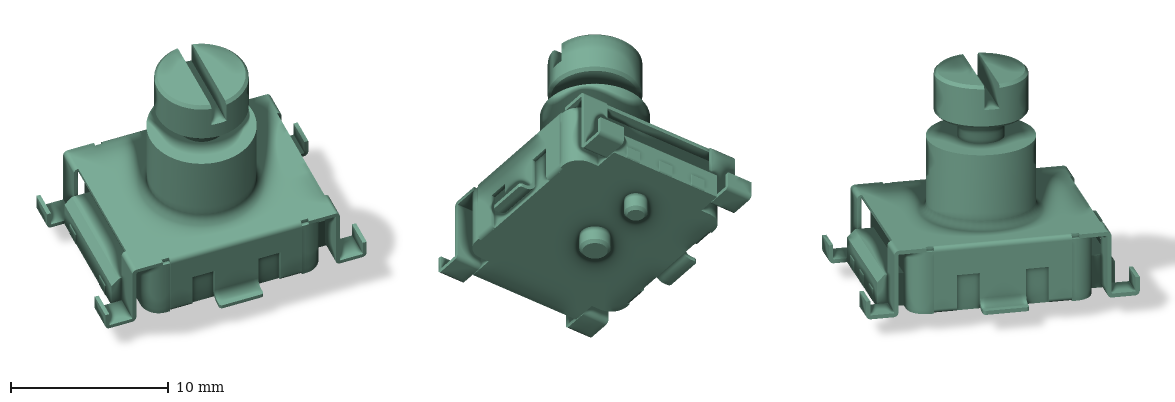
import cadquery as cq

cover_top = 4.5
bushing_top = 9.5
head_bottom = 11.07
shaft_top = 14.0

sheet = 0.27
bend_radius = 0.04
housing_top = cover_top - sheet

housing_width = 11.72
flap_seat_width = 11.29
housing_length = 12.05
housing_corner_radius = 1.23
ledge_width = 8.0
ledge_reach = 7.75
ledge_height = 2.21
ledge_chamfer = 0.5
peg_length = 1.2
peg_chamfer = 0.2
centre_peg_diameter = 2.0
offset_peg_diameter = 1.5
offset_peg_y = 4.5

plate_width = housing_width
leg_outer_y = 7.09
leg_width = 1.82
foot_outer_y = 8.93
foot_tip_height = 1.25
flap_outer_x = flap_seat_width / 2 + sheet
flap_width = 9.0
relief_width = 10.0
window_top = 2.5
window_outer_y = 3.0
tab_width = 3.0
tab_end_x = 6.85
tab_bend_radius = 0.5
tab_corner_radius = 0.2
crimp_lip = 0.5
bushing_diameter = 7.0
bushing_fillet = 0.5

shaft_diameter = 3.0
head_diameter = 6.0
head_chamfer = 0.2
slot_width = 1.0
slot_depth = 1.6

contact_width = 1.0
contact_height = 0.9
contact_depth = 0.25
contact_bottom_radius = 0.15
contact_top_radius = 0.05
contact_proud = 0.07
contact_pitch = 2.5


def box(x_min, x_max, y_min, y_max, z_min, z_max):
    size = (x_max - x_min, y_max - y_min, z_max - z_min)
    return cq.Workplane("XY").box(*size, centered=False).translate((x_min, y_min, z_min))


def bent_strip(plane, points, width, inner_radius):
    """Sheet strip of the given width swept along mid-thickness points, with right-angle bends."""
    points = [cq.Vector(*point) for point in points]
    setback = inner_radius + sheet / 2
    path = cq.Workplane(plane).moveTo(points[0].x, points[0].y)
    for before, corner, after in zip(points, points[1:], points[2:]):
        bend_start = corner + (before - corner).normalized() * setback
        bend_end = corner + (after - corner).normalized() * setback
        path = path.lineTo(bend_start.x, bend_start.y)
        path = path.tangentArcPoint((bend_end.x, bend_end.y), relative=False)
    path = path.lineTo(points[-1].x, points[-1].y)

    strip_plane = path.plane
    start = strip_plane.toWorldCoords(points[0])
    direction = strip_plane.toWorldCoords(points[1]) - start
    section = cq.Workplane(cq.Plane(start, strip_plane.zDir, direction)).rect(width, sheet)
    return section.sweep(path)


def peg(diameter, y):
    """Locating peg below the housing, rooted inside it up to the ledge height."""
    return (
        cq.Workplane("XY")
        .workplane(offset=-peg_length)
        .center(0, y)
        .circle(diameter / 2)
        .extrude(peg_length + ledge_height)
        .faces("<Z")
        .chamfer(peg_chamfer)
    )


def make_housing_blank():
    """Housing before the cover and contacts are seated in it."""
    body = (
        cq.Workplane("XY")
        .rect(housing_width, housing_length)
        .extrude(housing_top)
        .edges("|Z")
        .fillet(housing_corner_radius)
    )
    ledge = (
        cq.Workplane("XY")
        .rect(ledge_width, 2 * ledge_reach)
        .extrude(ledge_height)
        .faces(">Z")
        .edges("|X")
        .chamfer(ledge_chamfer)
    )
    centre_peg = peg(centre_peg_diameter, 0)
    offset_peg = peg(offset_peg_diameter, offset_peg_y)
    housing = body.union(ledge).union(centre_peg).union(offset_peg)
    for x_side in (-1, 1):
        seat_span = sorted((x_side * flap_seat_width / 2, x_side * housing_width / 2))
        housing = housing.cut(box(*seat_span, -flap_width / 2, flap_width / 2, 0, housing_top))
    return housing


def make_leg(x_side, y_side):
    """Corner leg: down from the plate, outward as a foot, and up again at the tip."""
    upright_y = leg_outer_y - sheet / 2
    tip_y = foot_outer_y - sheet / 2
    plate_edge_y = upright_y - bend_radius - sheet
    points = [
        (y_side * plate_edge_y, housing_top + sheet / 2),
        (y_side * upright_y, housing_top + sheet / 2),
        (y_side * upright_y, sheet / 2),
        (y_side * tip_y, sheet / 2),
        (y_side * tip_y, foot_tip_height),
    ]
    leg_x = x_side * (plate_width - leg_width) / 2
    return bent_strip("YZ", points, leg_width, bend_radius).translate((leg_x, 0, 0))


def make_flap(x_side):
    """Side flap: a wall with two folded crimps, a solder tab and two windows between them."""
    wall_x = x_side * (flap_outer_x - sheet / 2)
    plate_edge_x = wall_x - x_side * (bend_radius + sheet)
    lip_x = wall_x - x_side * crimp_lip
    wall_points = [
        (plate_edge_x, housing_top + sheet / 2),
        (wall_x, housing_top + sheet / 2),
        (wall_x, window_top),
    ]
    crimp_points = [(wall_x, window_top), (wall_x, sheet / 2), (lip_x, sheet / 2)]
    tab_points = [(wall_x, window_top), (wall_x, sheet / 2), (x_side * tab_end_x, sheet / 2)]

    crimp_width = flap_width / 2 - window_outer_y
    crimp_y = (flap_width / 2 + window_outer_y) / 2
    tab = bent_strip("XZ", tab_points, tab_width, tab_bend_radius)
    tab_end = ">X" if x_side > 0 else "<X"
    tab = tab.faces(tab_end).edges("|Z").fillet(tab_corner_radius)

    flap = bent_strip("XZ", wall_points, flap_width, bend_radius).union(tab)
    crimp = bent_strip("XZ", crimp_points, crimp_width, bend_radius)
    for y_side in (-1, 1):
        flap = flap.union(crimp.translate((0, y_side * crimp_y, 0)))
    return flap


def make_cover():
    """Plate with the bushing, flaps and legs, bored for the shaft."""
    bend_reach = bend_radius + sheet
    plate_length = 2 * (leg_outer_y - bend_reach)
    relief_x = flap_outer_x - bend_reach
    cover = (
        cq.Workplane("XY")
        .workplane(offset=housing_top)
        .rect(plate_width, plate_length)
        .extrude(sheet)
    )
    bushing = (
        cq.Workplane("XY")
        .workplane(offset=housing_top)
        .circle(bushing_diameter / 2)
        .extrude(bushing_top - housing_top)
    )
    cover = cover.union(bushing)
    bushing_foot = cq.selectors.NearestToPointSelector((bushing_diameter / 2, 0, cover_top))
    cover = cover.edges("%CIRCLE").edges(bushing_foot).fillet(bushing_fillet)

    for x_side in (-1, 1):
        relief_span = sorted((x_side * relief_x, x_side * plate_width))
        cover = cover.cut(box(*relief_span, -relief_width / 2, relief_width / 2, housing_top, cover_top))
        cover = cover.union(make_flap(x_side))
        for y_side in (-1, 1):
            cover = cover.union(make_leg(x_side, y_side))
    return cover.cut(make_shaft())


def make_shaft():
    """Stem standing on the housing, with a slotted head."""
    stem = (
        cq.Workplane("XY")
        .workplane(offset=housing_top)
        .circle(shaft_diameter / 2)
        .extrude(head_bottom - housing_top)
    )
    head = (
        cq.Workplane("XY")
        .workplane(offset=head_bottom)
        .circle(head_diameter / 2)
        .extrude(shaft_top - head_bottom)
        .edges()
        .chamfer(head_chamfer)
    )
    slot = box(
        -head_diameter, head_diameter, -slot_width / 2, slot_width / 2, shaft_top - slot_depth, shaft_top
    )
    return stem.union(head).cut(slot)


def make_contact(column, y_side):
    """Contact block set into a ledge face and standing slightly out of it."""
    outer_y = ledge_reach + contact_proud
    inner_y = outer_y - contact_depth
    y_span = sorted((y_side * inner_y, y_side * outer_y))
    x = column * contact_pitch
    contact = box(x - contact_width / 2, x + contact_width / 2, *y_span, 0, contact_height)
    outer_side = ">Y" if y_side > 0 else "<Y"
    contact = contact.faces(outer_side).edges("<Z").fillet(contact_bottom_radius)
    return contact.faces(outer_side).edges(">Z").fillet(contact_top_radius)


shaft = make_shaft()
cover = make_cover()
contacts = [make_contact(column, -1) for column in (-1, 1)]
contacts += [make_contact(column, 1) for column in (-1, 0, 1)]

housing = make_housing_blank().cut(cover)
for contact in contacts:
    housing = housing.cut(contact)

result = cq.Compound.makeCompound(
    [housing.val(), cover.val(), shaft.val(), *[contact.val() for contact in contacts]]
)